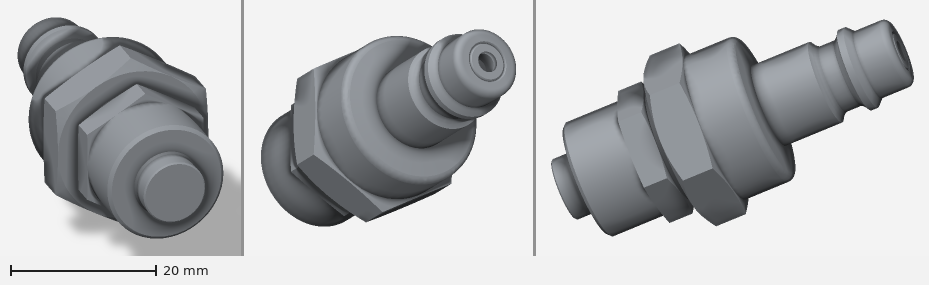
import cadquery as cq
import math


plug_diameter = 10.0
plug_tip_fillet = 1.0
collar_diameter = 12.0
collar_start = 5.0
collar_crest_start = 6.0
collar_crest_end = 7.0
groove_diameter = 9.75
groove_side_radius = 2.5
groove_bottom_start = 8.0
groove_bottom_end = 10.35
shank_start = 11.4

flange_start = 20.0
flange_diameter = 21.5
flange_cone_angle = 8.0
flange_fillet = 1.0

hex_blank_allowance = 1.0

body_hex_start = 28.0
body_hex_end = 34.0
body_hex_flats = 22.0
body_hex_front_face_diameter = 21.5
body_hex_front_angle = 15.0
body_hex_back_angle = 30.0

neck_diameter = 16.0
nut_start = 35.1
nut_hex_end = 39.1
nut_flats = 17.0
nut_front_angle = 15.0
nut_back_angle = 7.0
nut_end = 47.6
nut_end_chamfer = 0.5

tail_diameter = 9.0
tail_root_diameter = 9.5
tail_root_end = 48.0
tail_end = 51.0
tail_end_chamfer = 0.2

bore_diameter = 5.6
poppet_diameter = 5.45
poppet_chamfer = 0.2
poppet_gap_depth = 0.3

poppet_hole_diameter = 3.0
poppet_hole_depth = 3.0
undercut_depth = 0.85
undercut_flare_angle = 56.0


def tan_deg(angle):
    return math.tan(math.radians(angle))


def revolve_profile(points):
    """Turn a closed (x, radius) outline about the X axis."""
    return cq.Workplane("XY").polyline(points).close().revolve(360, (0, 0, 0), (1, 0, 0))


def cylinder(start, end, diameter):
    return cq.Workplane("YZ", origin=(start, 0, 0)).circle(diameter / 2).extrude(end - start)


def concave_arc_middle(start, end, radius):
    """Middle point of an arc that sags toward the X axis between two (x, radius) points."""
    run = end[0] - start[0]
    rise = end[1] - start[1]
    chord = math.hypot(run, rise)
    sagitta = radius - math.sqrt(radius**2 - (chord / 2) ** 2)
    middle_x = (start[0] + end[0]) / 2 + sagitta * rise / chord
    middle_radius = (start[1] + end[1]) / 2 - sagitta * run / chord
    return (middle_x, middle_radius)


def make_plug():
    plug_radius = plug_diameter / 2
    collar_radius = collar_diameter / 2
    groove_radius = groove_diameter / 2
    crest_end = (collar_crest_end, collar_radius)
    groove_front = (groove_bottom_start, groove_radius)
    groove_back = (groove_bottom_end, groove_radius)
    shank_front = (shank_start, collar_radius)
    plug = (
        cq.Workplane("XY")
        .moveTo(0, 0)
        .lineTo(0, plug_radius)
        .lineTo(collar_start, plug_radius)
        .lineTo(collar_crest_start, collar_radius)
        .lineTo(*crest_end)
        .threePointArc(concave_arc_middle(crest_end, groove_front, groove_side_radius), groove_front)
        .lineTo(*groove_back)
        .threePointArc(concave_arc_middle(groove_back, shank_front, groove_side_radius), shank_front)
        .lineTo(flange_start, collar_radius)
        .lineTo(flange_start, 0)
        .close()
        .revolve(360, (0, 0, 0), (1, 0, 0))
    )
    return plug.faces("<X").edges().fillet(plug_tip_fillet)


def make_flange():
    shank_radius = collar_diameter / 2
    rim_radius = flange_diameter / 2
    rim_start = flange_start + (rim_radius - shank_radius) * tan_deg(flange_cone_angle)
    flange = revolve_profile([
        (flange_start, 0),
        (flange_start, shank_radius),
        (rim_start, rim_radius),
        (body_hex_start, rim_radius),
        (body_hex_start, 0),
    ])
    rim_edge = cq.selectors.BoxSelector(
        (rim_start - flange_fillet / 2, -flange_diameter, -flange_diameter),
        (rim_start + flange_fillet / 2, flange_diameter, flange_diameter),
        boundingbox=True,
    )
    return flange.edges(rim_edge).fillet(flange_fillet)


def make_hexagon(start, end, flats, front_diameter, front_angle, back_diameter, back_angle):
    """Hexagon with corners on +Z and -Z, both ends turned down to a cone."""
    corner_radius = flats / math.sqrt(3)
    prism = (
        cq.Workplane("YZ", origin=(start, 0, 0))
        .polygon(6, 2 * corner_radius)
        .extrude(end - start)
        .rotate((0, 0, 0), (1, 0, 0), 90)
    )
    blank_radius = corner_radius + hex_blank_allowance
    front_drop = (blank_radius - front_diameter / 2) * tan_deg(front_angle)
    back_drop = (blank_radius - back_diameter / 2) * tan_deg(back_angle)
    turned_blank = revolve_profile([
        (start, 0),
        (start, front_diameter / 2),
        (start + front_drop, blank_radius),
        (end - back_drop, blank_radius),
        (end, back_diameter / 2),
        (end, 0),
    ])
    return prism.intersect(turned_blank)


def make_nut_sleeve():
    return cylinder(nut_hex_end, nut_end, nut_flats).faces(">X").chamfer(nut_end_chamfer)


def make_tail():
    tail_radius = tail_diameter / 2
    return revolve_profile([
        (nut_end, 0),
        (nut_end, tail_root_diameter / 2),
        (tail_root_end, tail_radius),
        (tail_end - tail_end_chamfer, tail_radius),
        (tail_end, tail_radius - tail_end_chamfer),
        (tail_end, 0),
    ])


def make_poppet_gap():
    """Chamfered ring gap between the bore and the poppet inside it."""
    bore_radius = bore_diameter / 2
    poppet_radius = poppet_diameter / 2
    return revolve_profile([
        (0, poppet_radius - poppet_chamfer),
        (0, bore_radius + poppet_chamfer),
        (poppet_chamfer, bore_radius),
        (poppet_gap_depth, bore_radius),
        (poppet_gap_depth, poppet_radius),
        (poppet_chamfer, poppet_radius),
    ])


def make_poppet_hole():
    hole_radius = poppet_hole_diameter / 2
    undercut_radius = hole_radius + undercut_depth * tan_deg(undercut_flare_angle)
    return revolve_profile([
        (0, 0),
        (0, hole_radius),
        (undercut_depth, undercut_radius),
        (undercut_depth, hole_radius),
        (poppet_hole_depth, hole_radius),
        (poppet_hole_depth, 0),
    ])


body_hex = make_hexagon(
    body_hex_start, body_hex_end, body_hex_flats,
    body_hex_front_face_diameter, body_hex_front_angle,
    body_hex_flats, body_hex_back_angle,
)
nut_hex = make_hexagon(
    nut_start, nut_hex_end, nut_flats,
    nut_flats, nut_front_angle,
    nut_flats, nut_back_angle,
)

result = (
    make_plug()
    .union(make_flange())
    .union(body_hex)
    .union(cylinder(body_hex_end, nut_start, neck_diameter))
    .union(nut_hex)
    .union(make_nut_sleeve())
    .union(make_tail())
    .cut(make_poppet_gap())
    .cut(make_poppet_hole())
)